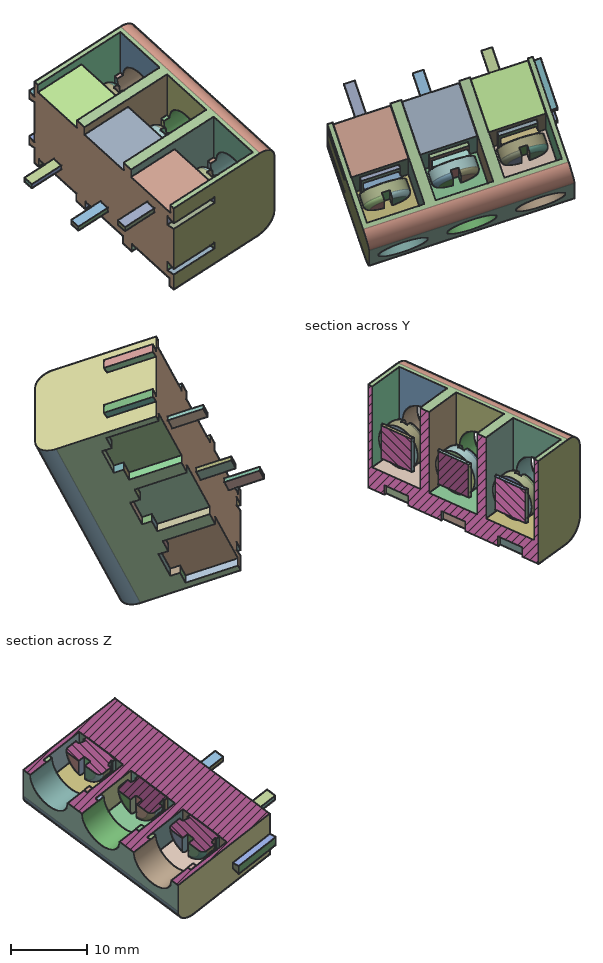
import cadquery as cq


housing_width = 28.45
housing_depth = 17.28
housing_height = 16.5
housing_centre = housing_width / 2
mid_height = housing_height / 2
top_round_radius = 2.5
bottom_round_radius = 3.0

terminal_count = 3
terminal_pitch = 9.5
first_terminal_x = 4.7
terminal_centres = [first_terminal_x + i * terminal_pitch for i in range(terminal_count)]

plate_width = 5.43
plate_thickness = 0.53
plate_half_height = 4.67
clamp_wide_width = 5.35
clamp_narrow_width = 4.87
clamp_thickness = 0.85
clamp_height = clamp_wide_width
head_radius = 3.25
head_thickness = 2.25
head_round_radius = 0.75
slot_width = 1.1
slot_depth = 1.03
pin_width = 1.5
pin_thickness = 0.83
pin_reach = 5.02
pin_offset = plate_half_height - pin_thickness / 2

bay_width = 7.97
shelf_depth = 7.47
shelf_drop = 1.5
shelf_height = housing_height - shelf_drop
upper_bay_depth = 14.15
lower_bay_depth = 13.15
well_floor = mid_height - plate_half_height
driver_hole_radius = 3.43

recess_width = 7.68
recess_height = 1.5
recess_depth = shelf_depth
recess_slot_width = 4.0
recess_slot_depth = 8.85

dovetail_length = 7.0
dovetail_offset = 4.65
dovetail_heights = [mid_height - dovetail_offset, mid_height + dovetail_offset]
dovetail_root_width = 1.12
ridge_reach = 1.1
ridge_tip_width = 1.62
groove_reach = 1.3
groove_tip_width = 1.7

pin_sides = [-1, -1, 1]

plate_back = shelf_depth + plate_thickness
head_base = plate_back + clamp_thickness
head_top = head_base + head_thickness


def block(x_centre, width, y_start, y_end, z_start, z_end):
    """Box centred on x_centre in X and given by its ends in Y and Z."""
    return cq.Workplane("XY").box(
        width, y_end - y_start, z_end - z_start, centered=(True, False, False)
    ).translate((x_centre, y_start, z_start))


def y_cylinder(x_centre, radius, y_start, y_end):
    """Cylinder along Y at mid height."""
    return (
        cq.Workplane("XZ", origin=(x_centre, y_start, mid_height))
        .circle(radius)
        .extrude(y_start - y_end)
    )


def pin_bar(x_centre, side):
    """Flat pin from the face of the plate out past the housing."""
    z_centre = mid_height + side * pin_offset
    return block(
        x_centre, pin_width, -pin_reach, shelf_depth,
        z_centre - pin_thickness / 2, z_centre + pin_thickness / 2,
    )


def dovetail(x_root, z_centre, reach, tip_width):
    """Dovetail bar that widens from its root toward -X."""
    return (
        cq.Workplane("XZ")
        .moveTo(x_root, z_centre - dovetail_root_width / 2)
        .lineTo(x_root - reach, z_centre - tip_width / 2)
        .lineTo(x_root - reach, z_centre + tip_width / 2)
        .lineTo(x_root, z_centre + dovetail_root_width / 2)
        .close()
        .extrude(-dovetail_length)
    )


def bay(x_centre):
    """Space of one wire bay with its screw well and screwdriver hole."""
    shelf_space = block(x_centre, bay_width, 0, upper_bay_depth, shelf_height, housing_height)
    upper_well = block(x_centre, bay_width, shelf_depth, upper_bay_depth, mid_height, housing_height)
    lower_well = block(x_centre, bay_width, shelf_depth, lower_bay_depth, well_floor, mid_height)
    driver_hole = y_cylinder(x_centre, driver_hole_radius, head_top, housing_depth)
    return shelf_space.union(upper_well).union(lower_well).union(driver_hole)


def bottom_recess(x_centre):
    """Space of the notch under one bay, with a narrower slot that runs deeper."""
    notch = block(x_centre, recess_width, 0, recess_depth, 0, recess_height)
    slot = block(x_centre, recess_slot_width, 0, recess_slot_depth, 0, recess_height)
    return notch.union(slot)


def make_housing():
    body = block(housing_centre, housing_width, 0, housing_depth, 0, housing_height)
    body = body.edges("|X and >Y and >Z").fillet(top_round_radius)
    body = body.edges("|X and >Y and <Z").fillet(bottom_round_radius)
    for z_centre in dovetail_heights:
        body = body.union(dovetail(0, z_centre, ridge_reach, ridge_tip_width))
        body = body.cut(dovetail(housing_width, z_centre, groove_reach, groove_tip_width))
    for x_centre, side in zip(terminal_centres, pin_sides):
        body = body.cut(bay(x_centre))
        body = body.cut(bottom_recess(x_centre))
        body = body.cut(pin_bar(x_centre, side))
    return body


def screw_head(x_centre):
    """Round head with a rounded rim and a straight slot along Z."""
    head = y_cylinder(x_centre, head_radius, head_base, head_top)
    head = head.faces(">Y").edges().fillet(head_round_radius)
    slot = block(x_centre, slot_width, head_top - slot_depth, head_top, 0, housing_height)
    return head.cut(slot)


def clamp(x_centre):
    """Clamp under the screw head, narrowing toward the plate."""
    return (
        cq.Workplane("XY", origin=(x_centre, 0, mid_height))
        .moveTo(-clamp_narrow_width / 2, plate_back)
        .lineTo(clamp_narrow_width / 2, plate_back)
        .lineTo(clamp_wide_width / 2, head_base)
        .lineTo(-clamp_wide_width / 2, head_base)
        .close()
        .extrude(clamp_height / 2, both=True)
    )


def make_terminal(x_centre, side):
    plate = block(
        x_centre, plate_width, shelf_depth, plate_back,
        mid_height - plate_half_height, mid_height + plate_half_height,
    )
    return plate.union(pin_bar(x_centre, side)).union(clamp(x_centre)).union(screw_head(x_centre))


housing = make_housing()
terminals = [make_terminal(x, side) for x, side in zip(terminal_centres, pin_sides)]

result = cq.Compound.makeCompound([housing.val(), *[terminal.val() for terminal in terminals]])